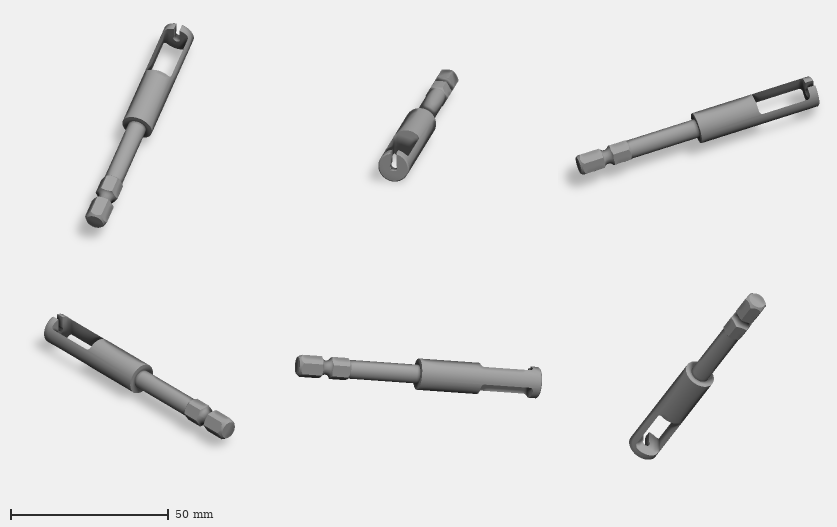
import cadquery as cq
import math

total_length = 80.0

sleeve_dia = 10.0
sleeve_start = total_length / 2
tip_chamfer = 0.4

window_width = 8.2
window_start = 60.0
window_corner_radius = 1.0
tip_wall = 2.7
window_end = total_length - tip_wall

keyhole_dia = 2.4
slot_width = 1.9
deep_slot_length = 1.8
deep_slot_depth = 1.1

shank_dia = 6.0

hex_across_flats = 6.4
hex_across_corners = hex_across_flats / math.cos(math.pi / 6)
hex_length = 17.0
tail_face_dia = 5.6
tail_chamfer_length = 1.2
groove_center = 9.4
groove_dia = 4.6
groove_radius = 1.8


def cylinder_along_y(diameter, start, end):
    """Solid cylinder on the Y axis from Y = start to Y = end."""
    return cq.Workplane("XZ", origin=(0, start, 0)).circle(diameter / 2).extrude(start - end)


def slot_cut(floor, start, end):
    """Block of slot width, open upward, with its floor at Z = floor."""
    size = (slot_width, end - start, sleeve_dia)
    return cq.Workplane("XY", origin=(0, start, floor)).box(*size, centered=(True, False, False))


def make_hex_drive():
    """Hexagonal prism turned to a profile that bevels both ends."""
    corner_radius = hex_across_corners / 2
    shoulder = corner_radius - shank_dia / 2
    turned = (
        cq.Workplane("XY")
        .polyline([
            (0, 0),
            (tail_face_dia / 2, 0),
            (corner_radius, tail_chamfer_length),
            (corner_radius, hex_length - shoulder),
            (shank_dia / 2, hex_length),
            (0, hex_length),
        ])
        .close()
        .revolve(360, (0, 0), (0, 1))
    )
    prism = cq.Workplane("XZ").polygon(6, hex_across_corners).extrude(-hex_length)
    return prism.intersect(turned)


def make_detent_groove():
    """Ring of circular section that leaves the neck of the hex drive."""
    ring_radius = groove_dia / 2 + groove_radius
    return (
        cq.Workplane("XY")
        .center(ring_radius, groove_center)
        .circle(groove_radius)
        .revolve(360, (-ring_radius, 0), (-ring_radius, 1))
    )


def make_sleeve():
    """Solid sleeve with a chamfered tip."""
    return cylinder_along_y(sleeve_dia, sleeve_start, total_length).faces(">Y").chamfer(tip_chamfer)


def make_window():
    """Vertical through opening with rounded corners."""
    window_length = window_end - window_start
    return (
        cq.Workplane("XY", origin=(0, window_start + window_length / 2, 0))
        .rect(window_width, window_length)
        .extrude(sleeve_dia / 2, both=True)
        .edges("|Z")
        .fillet(window_corner_radius)
    )


def make_keyhole():
    """Round hole through the tip wall, opened upward by a slot that deepens at the tip."""
    hole = cylinder_along_y(keyhole_dia, window_end, total_length)
    slot = slot_cut(0, window_end, total_length)
    deep_slot = slot_cut(-deep_slot_depth, total_length - deep_slot_length, total_length)
    return hole.union(slot).union(deep_slot)


hex_drive = make_hex_drive().cut(make_detent_groove())
shank = cylinder_along_y(shank_dia, hex_length, sleeve_start)
sleeve = make_sleeve().cut(make_window()).cut(make_keyhole())

result = hex_drive.union(shank).union(sleeve)